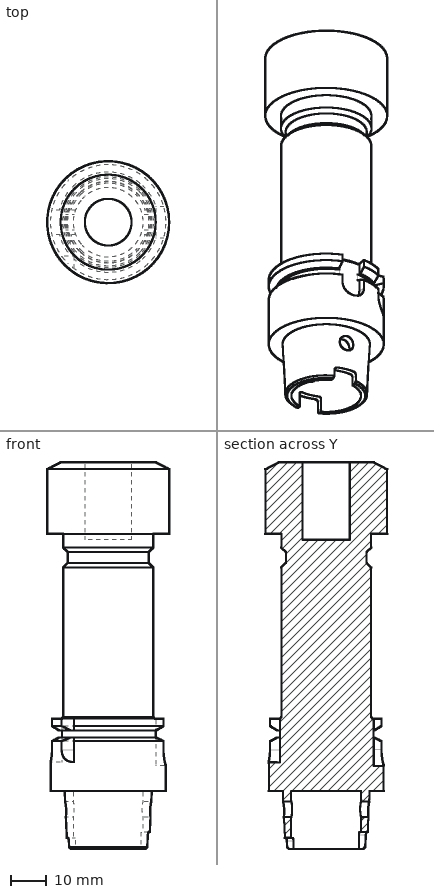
import cadquery as cq

total_height = 107.5
taper_height = 16.1
flange_top = 36.2

nut_radius = 17.0
nut_face_radius = 13.2
body_radius = 12.6
neck_radius = 11.3
flange_radius = 16.0
gripper_groove_radius = 13.2
groove_ledge_radius = 14.0
taper_top_radius = 12.1
taper_bottom_radius = 11.4

nut_chamfer_height = 1.9
nut_bottom = 87.6
neck_bevel_top = 83.7
neck_top = 82.6
neck_bottom = 79.5
neck_bevel_bottom = 78.3
groove_bevel_top = 34.2
groove_top = 32.9
groove_bottom = 31.1
groove_bevel_bottom = 30.0
taper_chamfer = 0.5
body_root_chamfer = 0.4

bore_diameter = 13.0
bore_depth = 21.5

slot_width = 6.8
wide_slot_width = 8.8
slot_bottom = 24.2
wide_slot_bottom = 23.2
narrow_slot_floor = 12.9
wide_slot_floor = 13.2
corner_slot_floor = 9.5
corner_slot_center = corner_slot_floor + slot_width / 2

cavity_diameter = 19.4
cavity_depth = taper_height
cross_hole_diameter = 4.3
cross_hole_height = 11.1
notch_height = 3.1
tall_notch_height = 4.7
notch_fillet = 0.9


def turned_body():
    """Solid of revolution about Z, from the taper shank up to the nut."""
    profile = [
        (0, 0),
        (taper_bottom_radius - taper_chamfer, 0),
        (taper_bottom_radius, taper_chamfer),
        (taper_top_radius, taper_height),
        (flange_radius, taper_height),
        (flange_radius, groove_bevel_bottom),
        (groove_ledge_radius, groove_bottom),
        (gripper_groove_radius, groove_bottom),
        (gripper_groove_radius, groove_top),
        (groove_ledge_radius, groove_top),
        (flange_radius, groove_bevel_top),
        (flange_radius, flange_top),
        (body_radius + body_root_chamfer, flange_top),
        (body_radius, flange_top + body_root_chamfer),
        (body_radius, neck_bevel_bottom),
        (neck_radius, neck_bottom),
        (neck_radius, neck_top),
        (body_radius, neck_bevel_top),
        (body_radius, nut_bottom),
        (nut_radius, nut_bottom),
        (nut_radius, total_height - nut_chamfer_height),
        (nut_face_radius, total_height),
        (0, total_height),
    ]
    return cq.Workplane("XZ").polyline(profile).close().revolve(360, (0, 0), (0, 1))


def drive_slot(width, bottom, floor, center_y):
    """Cutter for a round-bottomed slot, open on the +X side and at the flange top."""
    radius = width / 2
    return (
        cq.Workplane("YZ", origin=(floor, center_y, 0))
        .moveTo(-radius, flange_top)
        .lineTo(-radius, bottom + radius)
        .threePointArc((0, bottom), (radius, bottom + radius))
        .lineTo(radius, flange_top)
        .close()
        .extrude(flange_radius)
    )


def cross_hole():
    """Cutter for the hole through the taper shank along X."""
    return (
        cq.Workplane("YZ", origin=(0, 0, cross_hole_height))
        .circle(cross_hole_diameter / 2)
        .extrude(flange_radius, both=True)
    )


def drive_notch(width, height):
    """Cutter for a notch in the bottom of the taper shank, on its +X side."""
    return (
        cq.Workplane("XY")
        .box(flange_radius, width, height, centered=(False, True, False))
        .edges("|X and >Z")
        .fillet(notch_fillet)
    )


result = turned_body()
result = result.faces(">Z").workplane().hole(bore_diameter, bore_depth)
result = result.faces("<Z").workplane().hole(cavity_diameter, cavity_depth)

narrow_slot = drive_slot(slot_width, slot_bottom, narrow_slot_floor, 0).mirror("YZ")
corner_slot = drive_slot(slot_width, slot_bottom, corner_slot_floor, -corner_slot_center).mirror("YZ")
result = result.cut(narrow_slot).cut(corner_slot)

result = result.cut(drive_slot(wide_slot_width, wide_slot_bottom, wide_slot_floor, 0))

low_notch = drive_notch(slot_width, notch_height).mirror("YZ")
tall_notch = drive_notch(slot_width, tall_notch_height)
result = result.cut(low_notch).cut(tall_notch).cut(cross_hole())